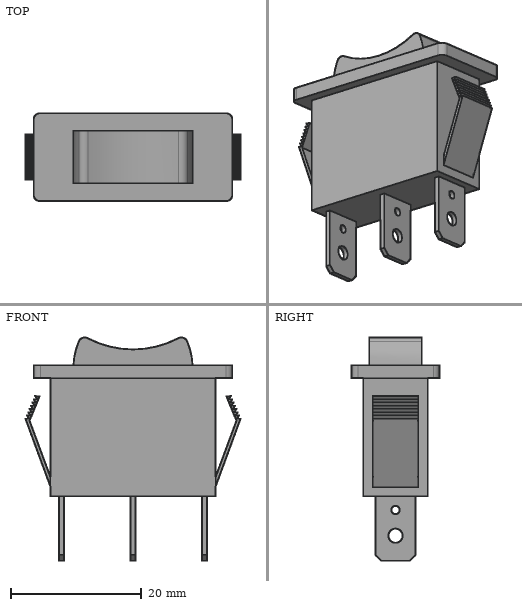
import cadquery as cq
import math

flange_length = 30.5
flange_width = 13.5
flange_thickness = 2.0
flange_corner_radius = 1.0

body_length = 25.3
body_width = 9.95
body_height = 18.1

rocker_width = 8.05
rocker_height = 4.26
rocker_half_length = 9.15
dish_bottom_height = 2.43
crest_radius = 1.0
crest_center_x = 7.4
crest_end_angle = 23.0

terminal_thickness = 0.8
terminal_width = 6.2
terminal_length = 9.9
terminal_pitch = 10.95
terminal_chamfer = 0.93
wire_hole_diameter = 1.23
wire_hole_drop = 2.1
lug_hole_diameter = 2.14
lug_hole_drop = 6.04

clip_span = 33.0
clip_width = 6.95
clip_bend_z = -6.2
clip_foot_z = -16.68
clip_leg_height = 1.55
clip_inner_bend_gap = 0.65
clip_embed = 0.5
clip_inner_bend_drop = 0.3
tooth_count = 7
tooth_pitch_z = 0.5
tooth_pitch_x = 0.21
tooth_depth = 0.55
clip_end_thickness = 0.72
clip_end_drop = 0.1

body_bottom_z = -body_height


def make_flange():
    plate = cq.Workplane("XY").rect(flange_length, flange_width).extrude(flange_thickness)
    return plate.edges("|Z").fillet(flange_corner_radius)


def make_body():
    return cq.Workplane("XY").rect(body_length, body_width).extrude(-body_height)


def make_rocker():
    """Saddle-shaped rocker: concave dish, two rounded crests and curved ends."""
    base_z = flange_thickness
    crest_z = base_z + rocker_height
    crest_center_z = crest_z - crest_radius
    dish_z = base_z + dish_bottom_height

    dish_rise = dish_z - crest_center_z
    dish_radius = (crest_center_x**2 + dish_rise**2 - crest_radius**2) / (2 * (crest_radius - dish_rise))
    center_distance = dish_radius + crest_radius
    touch_x = crest_center_x * dish_radius / center_distance
    touch_z = crest_center_z + crest_radius * (dish_rise + dish_radius) / center_distance

    angle = math.radians(crest_end_angle)
    end_x = crest_center_x + crest_radius * math.cos(angle)
    end_z = crest_center_z + crest_radius * math.sin(angle)

    chord_x = rocker_half_length - end_x
    chord_z = end_z - base_z
    chord_angle = math.atan2(chord_x, chord_z)
    bulge = math.tan((angle - chord_angle) / 2) / 2
    side_mid = (
        (rocker_half_length + end_x) / 2 + bulge * chord_z,
        (base_z + end_z) / 2 + bulge * chord_x,
    )

    outline = (
        cq.Workplane("XZ")
        .moveTo(-rocker_half_length, base_z)
        .lineTo(rocker_half_length, base_z)
        .threePointArc(side_mid, (end_x, end_z))
        .threePointArc((crest_center_x, crest_z), (touch_x, touch_z))
        .threePointArc((0, dish_z), (-touch_x, touch_z))
        .threePointArc((-crest_center_x, crest_z), (-end_x, end_z))
        .threePointArc((-side_mid[0], side_mid[1]), (-rocker_half_length, base_z))
        .close()
    )
    return outline.extrude(rocker_width / 2, both=True)


def make_terminal(x):
    """Flat blade terminal with a chamfered tip and two cross holes."""
    blade = (
        cq.Workplane("XY", origin=(x, 0, body_bottom_z))
        .rect(terminal_thickness, terminal_width)
        .extrude(-terminal_length)
        .faces("<Z")
        .edges("|X")
        .chamfer(terminal_chamfer)
    )
    for diameter, drop in (
        (wire_hole_diameter, wire_hole_drop),
        (lug_hole_diameter, lug_hole_drop),
    ):
        hole = (
            cq.Workplane("YZ", origin=(x, 0, body_bottom_z - drop))
            .circle(diameter / 2)
            .extrude(terminal_thickness, both=True)
        )
        blade = blade.cut(hole)
    return blade


def make_clip():
    """Left snap-in clip: a sloped leg, a bend and a serrated free end."""
    wall_x = -body_length / 2
    tip_x = -clip_span / 2
    foot_inner_z = clip_foot_z + clip_leg_height
    end_tip_x = tip_x + tooth_count * tooth_pitch_x
    end_tip_z = clip_bend_z + tooth_count * tooth_pitch_z

    points = [
        (wall_x + clip_embed, foot_inner_z),
        (wall_x + clip_embed, clip_foot_z),
        (wall_x, clip_foot_z),
        (tip_x, clip_bend_z),
    ]
    for tooth in range(tooth_count):
        ledge_x = tip_x + tooth * tooth_pitch_x
        ledge_z = clip_bend_z + tooth * tooth_pitch_z
        points.append((ledge_x + tooth_depth, ledge_z))
        points.append((ledge_x + tooth_pitch_x, ledge_z + tooth_pitch_z))
    points += [
        (end_tip_x + clip_end_thickness, end_tip_z - clip_end_drop),
        (tip_x + clip_inner_bend_gap, clip_bend_z - clip_inner_bend_drop),
        (wall_x, foot_inner_z),
    ]
    return cq.Workplane("XZ").polyline(points).close().extrude(clip_width / 2, both=True)


result = make_flange().union(make_body()).union(make_rocker())

for position in (-1, 0, 1):
    result = result.union(make_terminal(position * terminal_pitch))

left_clip = make_clip()
result = result.union(left_clip).union(left_clip.mirror("YZ"))